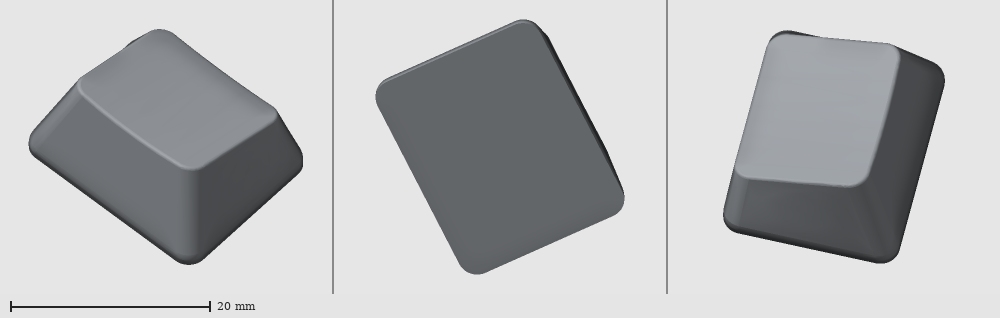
import cadquery as cq
import math

length = 22.92
width = 18.15
corner_radius = 1.97
skirt_height = 0.7
blend_height = 0.62
side_inset = 0.14
front_inset = 0.15
back_inset = 0.02

top_length = 16.6
top_front_y = -5.1
top_front_z = 9.88
top_back_y = 8.62
top_back_z = 5.95
top_corner_radius = 1.97

dish_depth = 0.55
rim_radius = 0.37

top_rise = top_front_z - top_back_z
top_run = top_back_y - top_front_y
top_tilt = math.atan2(top_rise, top_run)
top_slant = math.hypot(top_rise, top_run)
top_plane = cq.Plane(
    origin=(0, (top_front_y + top_back_y) / 2, (top_front_z + top_back_z) / 2),
    xDir=(1, 0, 0),
    normal=(0, math.sin(top_tilt), math.cos(top_tilt)),
)


def rounded_rectangle(plane, size_x, size_y, radius):
    """Closed wire of a rounded rectangle centred on the plane."""
    sketch = cq.Sketch().rect(size_x, size_y).vertices().fillet(radius)
    return cq.Workplane(plane).placeSketch(sketch)._getFaces()[0].outerWire()


def blend_outline(fraction):
    """Outline part-way up the blend, curving inward from the vertical skirt."""
    lean = fraction**2
    front_y = -width / 2 + front_inset * lean
    back_y = width / 2 - back_inset * lean
    plane = cq.Plane.XY(origin=(0, (front_y + back_y) / 2, skirt_height + blend_height * fraction))
    return rounded_rectangle(plane, length - 2 * side_inset * lean, back_y - front_y, corner_radius)


def tapered_body():
    """Straight skirt, curved blend and walls running up to the tilted top outline."""
    skirt_top = blend_outline(0)
    blend_top = blend_outline(1)
    top = rounded_rectangle(top_plane, top_length, top_slant, top_corner_radius)
    skirt = cq.Solid.extrudeLinear(skirt_top, [], cq.Vector(0, 0, -skirt_height))
    blend = cq.Solid.makeLoft([skirt_top, blend_outline(0.5), blend_top])
    walls = cq.Solid.makeLoft([blend_top, top], True)
    return cq.Workplane(skirt.fuse(blend, walls))


def dish_cutter():
    """Cylinder along the slope whose lowest line sits dish_depth below the top."""
    half_chord = top_length / 2
    radius = (half_chord**2 + dish_depth**2) / (2 * dish_depth)
    cutter_length = 2 * width
    section_plane = cq.Plane(
        origin=top_plane.toWorldCoords((0, 0, radius - dish_depth)),
        xDir=(1, 0, 0),
        normal=top_plane.yDir,
    )
    return cq.Workplane(section_plane).circle(radius).extrude(cutter_length / 2, both=True)


body = tapered_body().cut(dish_cutter())
dish_face = body.faces("%CYLINDER").faces(
    cq.selectors.NearestToPointSelector(top_plane.origin.toTuple())
)
result = dish_face.edges().fillet(rim_radius)